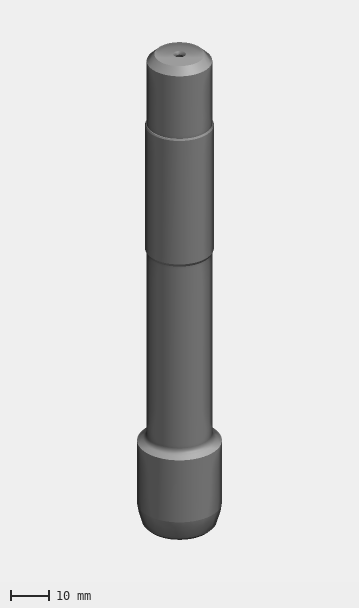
import cadquery as cq

total_height = 140.0
head_straight_start = 6.5
head_straight_end = 24.9
head_crown_top = 25.9
shaft_start = 27.2
band_bottom = 81.3
band_top = 119.4
top_chamfer_height = 2.0

head_diameter = 22.3
crown_diameter = 18.8
shaft_diameter = 17.2
band_diameter = 18.0
band_top_edge_diameter = 17.6
top_face_diameter = 13.2
tip_diameter = 19.6
bottom_face_diameter = 17.6

tip_chamfer_height = 1.0
tip_bulge = 0.21

crown_fillet_sag = 0.1

band_lower_chamfer_height = 0.8
band_upper_chamfer_height = 0.4

centre_mouth_diameter = 3.4
centre_hole_diameter = 2.0
centre_cone_depth = 0.7
centre_hole_depth = 3.5
centre_point_height = centre_hole_diameter / 2


def make_stud():
    """Turned stud with a domed head, a concave blend to the shaft and a chamfered top."""
    head_radius = head_diameter / 2
    tip_radius = tip_diameter / 2
    shaft_radius = shaft_diameter / 2
    crown_radius = crown_diameter / 2
    fillet_middle = (
        (crown_radius + shaft_radius) / 2 - crown_fillet_sag,
        (head_crown_top + shaft_start) / 2 - crown_fillet_sag,
    )
    tip_middle = (
        (head_radius + tip_radius) / 2 + tip_bulge,
        (head_straight_start + tip_chamfer_height) / 2,
    )
    return (
        cq.Workplane("XZ")
        .lineTo(bottom_face_diameter / 2, 0)
        .lineTo(tip_radius, tip_chamfer_height)
        .threePointArc(tip_middle, (head_radius, head_straight_start))
        .lineTo(head_radius, head_straight_end)
        .lineTo(crown_radius, head_crown_top)
        .threePointArc(fillet_middle, (shaft_radius, shaft_start))
        .lineTo(shaft_radius, total_height - top_chamfer_height)
        .lineTo(top_face_diameter / 2, total_height)
        .lineTo(0, total_height)
        .close()
        .revolve(360, (0, 0, 0), (0, 1, 0))
    )


def make_centre_drilling():
    """Cutter for the countersunk, cone-ended blind hole in the top face."""
    hole_radius = centre_hole_diameter / 2
    return (
        cq.Workplane("XZ")
        .moveTo(0, total_height)
        .lineTo(centre_mouth_diameter / 2, total_height)
        .lineTo(hole_radius, total_height - centre_cone_depth)
        .lineTo(hole_radius, total_height - centre_hole_depth)
        .lineTo(0, total_height - centre_hole_depth - centre_point_height)
        .close()
        .revolve(360, (0, 0, 0), (0, 1, 0))
    )


def make_sleeve():
    """Thin band around the shaft with a chamfer at each end."""
    inner_radius = shaft_diameter / 2
    outer_radius = band_diameter / 2
    upper_edge_radius = band_top_edge_diameter / 2
    return (
        cq.Workplane("XZ")
        .moveTo(inner_radius, band_bottom)
        .lineTo(outer_radius, band_bottom + band_lower_chamfer_height)
        .lineTo(outer_radius, band_top - band_upper_chamfer_height)
        .lineTo(upper_edge_radius, band_top)
        .lineTo(inner_radius, band_top)
        .close()
        .revolve(360, (0, 0, 0), (0, 1, 0))
    )


stud = make_stud().cut(make_centre_drilling())
sleeve = make_sleeve()
result = cq.Compound.makeCompound([stud.val(), sleeve.val()])